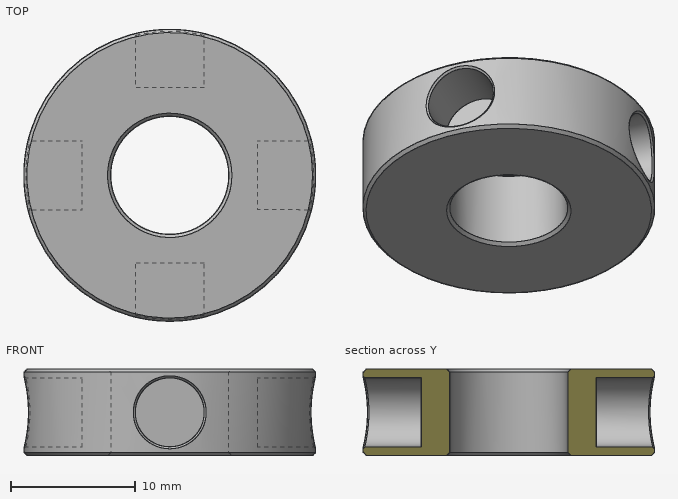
import cadquery as cq

outer_diameter = 23.5
height = 6.98
bore_diameter = 9.5
rim_chamfer = 0.25

hole_count = 4
hole_diameter = 5.55
hole_depth = 4.7
hole_chamfer = 0.16

outer_radius = outer_diameter / 2


def make_collar():
    """Ring centred on the origin, with its outer and bore rims chamfered."""
    ring = cq.Workplane("XY").circle(outer_radius).circle(bore_diameter / 2).extrude(height / 2, both=True)
    return ring.faces("|Z").edges().chamfer(rim_chamfer)


def make_hole_cutter(angle):
    """Flat-bottomed cylinder entering radially from beyond the rim."""
    cutter = (
        cq.Workplane("YZ")
        .workplane(offset=outer_radius - hole_depth)
        .circle(hole_diameter / 2)
        .extrude(outer_radius)
    )
    return cutter.rotate((0, 0, 0), (0, 0, 1), angle)


def mouth_edges(body):
    """Curved hole edges lying on the outer surface, clear of the rims."""
    rim_face = body.faces("%CYLINDER").filter(
        lambda face: face.BoundingBox().xlen > outer_diameter / 2
        and face.BoundingBox().ylen > outer_diameter / 2
    )
    return rim_face.edges("not(%CIRCLE or %LINE)")


result = make_collar()
for index in range(hole_count):
    result = result.cut(make_hole_cutter(index * 360 / hole_count))
result = mouth_edges(result).chamfer(hole_chamfer)